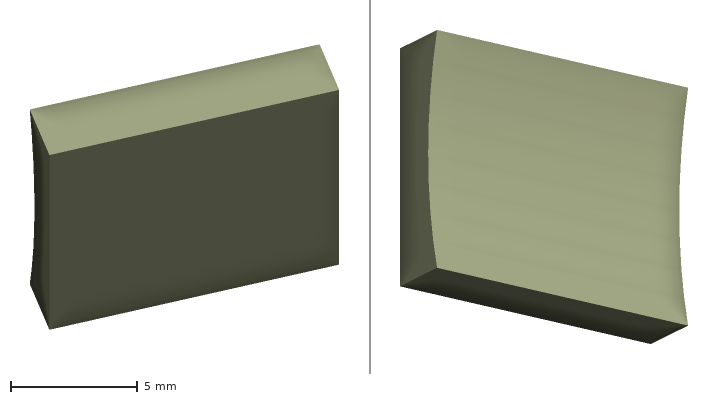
import cadquery as cq

edge_thickness = 2.62
length = 12.0
height = 10.0

center_thickness = 1.99

back_x = edge_thickness / 2
front_x = -edge_thickness / 2
deepest_x = back_x - center_thickness
half_height = height / 2

profile = (
    cq.Workplane("XZ")
    .moveTo(front_x, -half_height)
    .lineTo(back_x, -half_height)
    .lineTo(back_x, half_height)
    .lineTo(front_x, half_height)
    .threePointArc((deepest_x, 0), (front_x, -half_height))
    .close()
)

result = profile.extrude(length / 2, both=True)